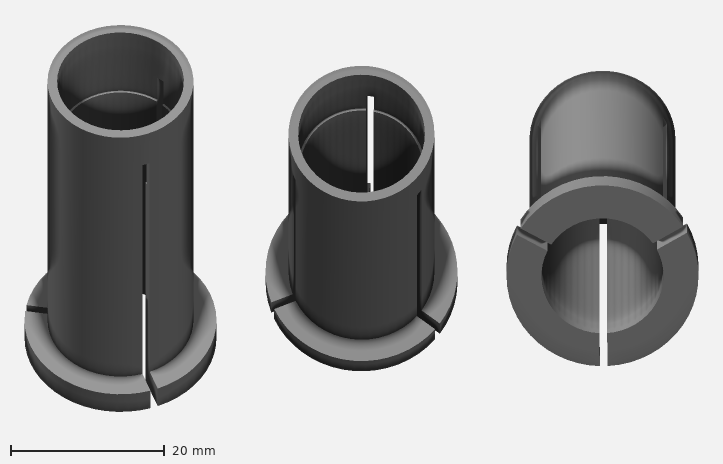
import cadquery as cq
import math

total_height = 52.5
flange_diameter = 25.0
flange_height = 3.6
sleeve_diameter = 19.0

bore_diameter = 15.9
counterbore_diameter = 16.5
counterbore_depth = 11.9

slot_count = 3
first_slot_angle = 90.0
slot_width = 1.0
slot_top = 46.35
slot_roof_angle = 45.0

slot_rim_clearance = 1.0
slot_outer_radius = flange_diameter / 2 + slot_rim_clearance
slot_inner_radius = bore_diameter / 4


def make_body():
    """Flanged sleeve with its stepped bore."""
    flange = cq.Workplane("XY").circle(flange_diameter / 2).extrude(flange_height)
    sleeve = cq.Workplane("XY").circle(sleeve_diameter / 2).extrude(total_height)
    bore = cq.Workplane("XY").circle(bore_diameter / 2).extrude(total_height)
    counterbore = (
        cq.Workplane("XY", origin=(0, 0, total_height - counterbore_depth))
        .circle(counterbore_diameter / 2)
        .extrude(counterbore_depth)
    )
    return flange.union(sleeve).cut(bore).cut(counterbore)


def roof_height(radius):
    """Height of the sloped slot roof at a given distance from the axis."""
    rise = (radius - sleeve_diameter / 2) * math.tan(math.radians(slot_roof_angle))
    return slot_top + rise


def make_slot(angle):
    """Cutter for one radial slot pointing at the given angle about Z."""
    profile = [
        (slot_inner_radius, 0),
        (slot_outer_radius, 0),
        (slot_outer_radius, roof_height(slot_outer_radius)),
        (slot_inner_radius, roof_height(slot_inner_radius)),
    ]
    return (
        cq.Workplane("XZ")
        .polyline(profile)
        .close()
        .extrude(slot_width / 2, both=True)
        .rotate((0, 0, 0), (0, 0, 1), angle)
    )


result = make_body()
for index in range(slot_count):
    result = result.cut(make_slot(first_slot_angle + index * 360.0 / slot_count))